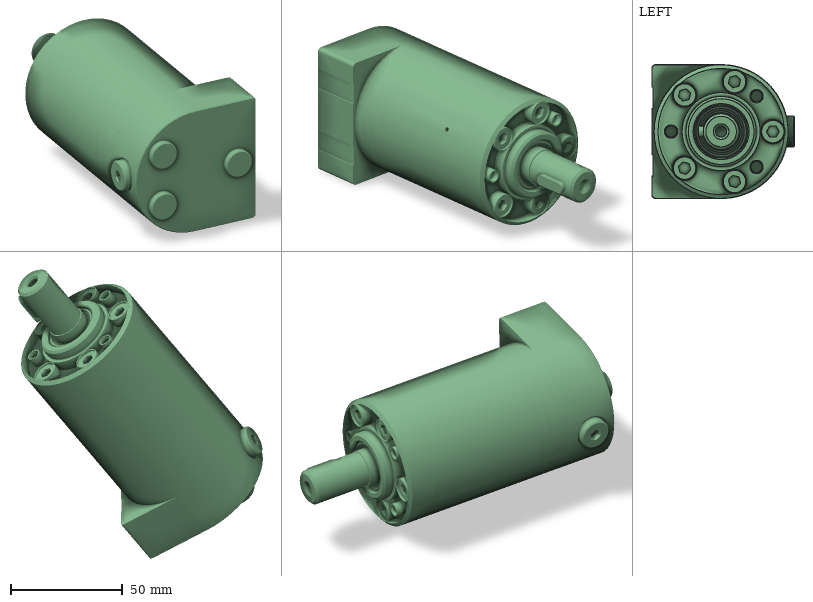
import cadquery as cq
import math


SHAFT_STEP_X = 27.7
COLLAR_X = 30.6
COVER_X = 35.4
HOUSING_X = 48.4
FRONT_PLATE_X = 103.8
GEAR_RING_X = 108.5
REAR_PLATE_X = 114.3
END_BLOCK_X = 119.1
BLOCK_END_X = 142.7
TOTAL_LENGTH = 145.8

BODY_DIAMETER = 60.0
BODY_RADIUS = BODY_DIAMETER / 2

SHAFT_DIAMETER = 16.0
SHOULDER_DIAMETER = 16.9
TIP_CHAMFER = 1.2
CENTRE_HOLE_DIAMETER = 5.0
CENTRE_HOLE_DEPTH = 14.6
COUNTERSINK_DIAMETER = 7.0
DRILL_POINT_ANGLE = 118.0
KEY_X = 4.4
KEY_LENGTH = 16.2
KEY_WIDTH = 5.0
KEY_TOP = 10.0

COVER_CHAMFER_LENGTH = 1.3
COVER_CHAMFER_HEIGHT = 1.7
RECESS_DIAMETER = BODY_DIAMETER - 2 * COVER_CHAMFER_HEIGHT
RECESS_DEPTH = 5.1
HUB_DIAMETER = 35.0
COLLAR_DIAMETER = 31.5
COLLAR_CHAMFER = 1.0
SEAL_POCKET_DIAMETER = 23.9
SEAL_POCKET_DEPTH = 2.0
SEAL_POCKET_CHAMFER = 0.6
SEAL_LIP_OUTER_DIAMETER = 22.7
SEAL_LIP_INNER_DIAMETER = 20.7
SEAL_LIP_HEIGHT = 0.7
SEAL_GAP_DIAMETER = 18.8
SEAL_GAP_DEPTH = 0.5

SCREW_CIRCLE_RADIUS = 23.2
SCREW_ANGLES = (0, 75, 135, -135, -75)
SCREW_POST_DIAMETER = 11.0
SCREW_HEAD_DIAMETER = 10.0
SCREW_HEAD_SINK = 0.9
HEX_ACROSS_FLATS = 5.0
HEX_ACROSS_CORNERS = HEX_ACROSS_FLATS / math.cos(math.pi / 6)
HEX_DEPTH = 2.9

TAPPED_CIRCLE_RADIUS = 22.5
TAPPED_ANGLES = (45, 180, -45)
TAPPED_POST_DIAMETER = 6.0
TAPPED_HOLE_DIAMETER = 5.0
TAPPED_HOLE_DEPTH = 11.7

SIDE_HOLE_X = 62.8
SIDE_HOLE_DIAMETER = 2.0
SIDE_HOLE_DEPTH = 2.9
SIDE_HOLE_ELEVATION = 30.0

BLOCK_FACE_Y = 31.0
BLOCK_CORNER_RADIUS = 1.7
BLOCK_REAR_CHAMFER = 0.5
FACE_GROOVE_Z = 15.2
FACE_GROOVE_WIDTH = 9.6
FACE_GROOVE_DEPTH = 0.5

PLUG_X = 131.0
PLUG_DIAMETER = 14.0
PLUG_FACE_Y = -33.0
PLUG_EDGE_CHAMFER = 0.6
PLUG_SPOTFACE_DIAMETER = 15.5
PLUG_SPOTFACE_Y = -28.9
PLUG_HEX_TURN = 30.0
REAR_HEAD_CIRCLE_RADIUS = 21.1
REAR_HEAD_ANGLES = (36.7, 180, -36.7)
REAR_HEAD_DIAMETER = 13.0
REAR_HEAD_CHAMFER = 0.5


def cylinder(diameter, start_x, end_x, y=0, z=0):
    """Cylinder along X between two stations."""
    plane = cq.Workplane("YZ", origin=(start_x, y, z))
    return plane.circle(diameter / 2).extrude(end_x - start_x)


def ring_place(radius, angle):
    """Y and Z of a place on a circle about the axis; angle 0 is at -Y and 90 at +Z."""
    turn = math.radians(angle)
    return -radius * math.cos(turn), radius * math.sin(turn)


def make_shaft():
    shaft = cylinder(SHAFT_DIAMETER, 0, SHAFT_STEP_X).faces("<X").chamfer(TIP_CHAMFER)
    shaft = shaft.union(cylinder(SHOULDER_DIAMETER, SHAFT_STEP_X, HOUSING_X))
    key_plane = cq.Workplane("XZ", origin=(KEY_X + KEY_LENGTH / 2, 0, 0))
    shaft = shaft.union(key_plane.slot2D(KEY_LENGTH, KEY_WIDTH).extrude(-KEY_TOP))
    return shaft.cut(make_centre_hole())


def make_centre_hole():
    """Countersunk blind hole with a drill point, turned about the axis."""
    hole_radius = CENTRE_HOLE_DIAMETER / 2
    sink_radius = COUNTERSINK_DIAMETER / 2
    point_length = hole_radius / math.tan(math.radians(DRILL_POINT_ANGLE / 2))
    profile = (
        cq.Workplane("XY")
        .lineTo(0, sink_radius)
        .lineTo(sink_radius - hole_radius, hole_radius)
        .lineTo(CENTRE_HOLE_DEPTH, hole_radius)
        .lineTo(CENTRE_HOLE_DEPTH + point_length, 0)
        .close()
    )
    return profile.revolve(360, (0, 0, 0), (1, 0, 0))


def make_cover_shell():
    """Front disc with a bevelled rim and a recess around the central hub."""
    profile = (
        cq.Workplane("XY")
        .moveTo(COVER_X, 0)
        .lineTo(COVER_X, RECESS_DIAMETER / 2)
        .lineTo(COVER_X + COVER_CHAMFER_LENGTH, BODY_RADIUS)
        .lineTo(HOUSING_X, BODY_RADIUS)
        .lineTo(HOUSING_X, 0)
        .close()
    )
    floor_x = COVER_X + RECESS_DEPTH
    recess = cylinder(RECESS_DIAMETER, COVER_X, floor_x)
    recess = recess.cut(cylinder(HUB_DIAMETER, COVER_X, floor_x))
    return profile.revolve(360, (0, 0, 0), (1, 0, 0)).cut(recess)


def add_collar(cover):
    """Collar with a pocket that holds the shaft seal."""
    collar = cylinder(COLLAR_DIAMETER, COLLAR_X, COVER_X).faces("<X").chamfer(COLLAR_CHAMFER)
    pocket_floor_x = COLLAR_X + SEAL_POCKET_DEPTH
    pocket = cylinder(SEAL_POCKET_DIAMETER, COLLAR_X, pocket_floor_x)
    collar = collar.cut(pocket)
    pocket_mouth = collar.faces("<X").edges(cq.selectors.RadiusNthSelector(0))
    collar = pocket_mouth.chamfer(SEAL_POCKET_CHAMFER)
    lip_x = pocket_floor_x - SEAL_LIP_HEIGHT
    lip = cylinder(SEAL_LIP_OUTER_DIAMETER, lip_x, pocket_floor_x)
    lip = lip.cut(cylinder(SEAL_LIP_INNER_DIAMETER, lip_x, pocket_floor_x))
    gap = cylinder(SEAL_GAP_DIAMETER, COLLAR_X, pocket_floor_x + SEAL_GAP_DEPTH)
    bore = cylinder(SHOULDER_DIAMETER, COLLAR_X, HOUSING_X)
    return cover.union(collar).union(lip).cut(gap).cut(bore)


def add_screw(cover, angle):
    """Post with a sunken screw head; a corner of its hex socket points away from the axis."""
    y, z = ring_place(SCREW_CIRCLE_RADIUS, angle)
    head_x = COVER_X + SCREW_HEAD_SINK
    post = cylinder(SCREW_POST_DIAMETER, COVER_X, COVER_X + RECESS_DEPTH, y, z)
    sink = cylinder(SCREW_HEAD_DIAMETER, COVER_X, head_x, y, z)
    socket = cq.Workplane("YZ", origin=(head_x, 0, 0)).center(-SCREW_CIRCLE_RADIUS, 0)
    socket = socket.polygon(6, HEX_ACROSS_CORNERS).extrude(HEX_DEPTH)
    socket = socket.rotate((0, 0, 0), (1, 0, 0), -angle)
    return cover.union(post).cut(sink).cut(socket)


def add_tapped_post(cover, angle):
    y, z = ring_place(TAPPED_CIRCLE_RADIUS, angle)
    post = cylinder(TAPPED_POST_DIAMETER, COVER_X, COVER_X + RECESS_DEPTH, y, z)
    hole = cylinder(TAPPED_HOLE_DIAMETER, COVER_X, COVER_X + TAPPED_HOLE_DEPTH, y, z)
    return cover.union(post).cut(hole)


def make_cover():
    cover = make_cover_shell()
    for angle in SCREW_ANGLES:
        cover = add_screw(cover, angle)
    for angle in TAPPED_ANGLES:
        cover = add_tapped_post(cover, angle)
    return add_collar(cover)


def make_housing():
    housing = cylinder(BODY_DIAMETER, HOUSING_X, FRONT_PLATE_X)
    elevation = math.radians(SIDE_HOLE_ELEVATION)
    outward = cq.Vector(0, math.cos(elevation), math.sin(elevation))
    hole_floor = cq.Vector(SIDE_HOLE_X, 0, 0) + outward * (BODY_RADIUS - SIDE_HOLE_DEPTH)
    hole_plane = cq.Plane(origin=hole_floor, xDir=(1, 0, 0), normal=outward)
    hole = cq.Workplane(hole_plane).circle(SIDE_HOLE_DIAMETER / 2).extrude(2 * SIDE_HOLE_DEPTH)
    return housing.cut(hole)


def make_plate(start_x, end_x):
    return cylinder(BODY_DIAMETER, start_x, end_x)


def make_block_shell():
    """Half-round block with a flat port face at +Y and two grooves along that face."""
    length = BLOCK_END_X - END_BLOCK_X
    block = (
        cq.Workplane("YZ", origin=(END_BLOCK_X, 0, 0))
        .moveTo(0, BODY_RADIUS)
        .lineTo(BLOCK_FACE_Y, BODY_RADIUS)
        .lineTo(BLOCK_FACE_Y, -BODY_RADIUS)
        .lineTo(0, -BODY_RADIUS)
        .threePointArc((-BODY_RADIUS, 0), (0, BODY_RADIUS))
        .close()
        .extrude(length)
        .edges("|X and >Y")
        .fillet(BLOCK_CORNER_RADIUS)
        .faces(">X")
        .chamfer(BLOCK_REAR_CHAMFER)
    )
    grooves = (
        cq.Workplane("YZ", origin=(END_BLOCK_X, BLOCK_FACE_Y, 0))
        .pushPoints([(0, FACE_GROOVE_Z), (0, -FACE_GROOVE_Z)])
        .rect(2 * FACE_GROOVE_DEPTH, FACE_GROOVE_WIDTH)
        .extrude(length)
    )
    return block.cut(grooves)


def add_plug(block):
    """Plug at -Y with a hex socket, standing in a spot-faced recess."""
    spotface_plane = cq.Workplane("XZ", origin=(PLUG_X, PLUG_SPOTFACE_Y, 0))
    plug_height = PLUG_SPOTFACE_Y - PLUG_FACE_Y
    spotface = spotface_plane.circle(PLUG_SPOTFACE_DIAMETER / 2).extrude(plug_height)
    plug = spotface_plane.circle(PLUG_DIAMETER / 2).extrude(plug_height)
    plug = plug.faces("<Y").chamfer(PLUG_EDGE_CHAMFER)
    socket = cq.Workplane("XZ", origin=(PLUG_X, PLUG_FACE_Y, 0))
    socket = socket.polygon(6, HEX_ACROSS_CORNERS).extrude(-HEX_DEPTH)
    socket = socket.rotate((PLUG_X, 0, 0), (PLUG_X, 1, 0), PLUG_HEX_TURN)
    return block.cut(spotface).union(plug).cut(socket)


def make_end_block():
    block = add_plug(make_block_shell())
    for angle in REAR_HEAD_ANGLES:
        y, z = ring_place(REAR_HEAD_CIRCLE_RADIUS, angle)
        head = cylinder(REAR_HEAD_DIAMETER, BLOCK_END_X, TOTAL_LENGTH, y, z)
        block = block.union(head.faces(">X").chamfer(REAR_HEAD_CHAMFER))
    return block


shaft = make_shaft()
cover = make_cover()
housing = make_housing()
front_plate = make_plate(FRONT_PLATE_X, GEAR_RING_X)
gear_ring = make_plate(GEAR_RING_X, REAR_PLATE_X)
rear_plate = make_plate(REAR_PLATE_X, END_BLOCK_X)
end_block = make_end_block()

result = cq.Compound.makeCompound(
    [
        shaft.val(),
        cover.val(),
        housing.val(),
        front_plate.val(),
        gear_ring.val(),
        rear_plate.val(),
        end_block.val(),
    ]
)